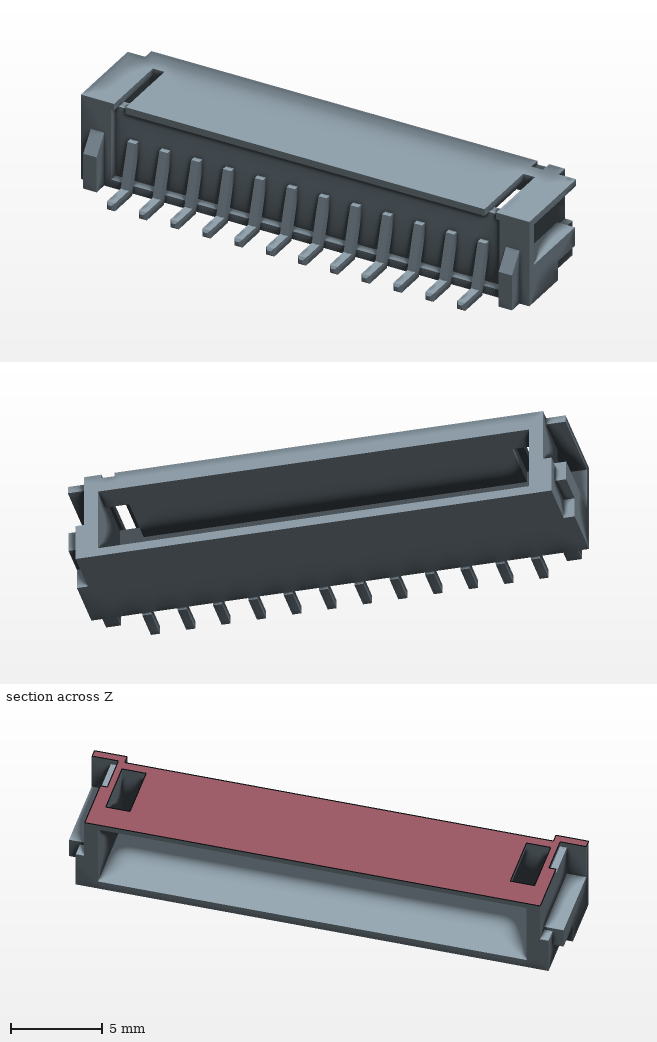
import cadquery as cq
import math


length = 28.15
depth = 5.97
height = 5.38
half_length = length / 2
cover_thickness = 0.42
cover_underside = height - cover_thickness

rear_wall_front = 0.5
rear_wall_back = 1.1
floor_thickness = 0.5
roof_thickness = 1.1
roof_underside = height - roof_thickness
cavity_end_gap = 1.9
cavity_half_length = half_length - cavity_end_gap

slot_outer_gap = 2.08
slot_width = 0.73
slot_back = 4.35
relief_inner_gap = 3.25

pocket_depth = 1.1
pocket_floor = 2.4
niche_back = 2.73
niche_depth = 0.4
cover_notch_length = 0.7
corner_inset = 0.62
corner_length = 0.85
corner_top = 2.2
foot_step_length = 2.73
foot_step_height = 1.2

key_depth = 0.23

tab_outer_gap = 0.62
tab_width = 0.85
tab_reach = 0.85
tab_shoulder = 2.22
tab_top = 3.38

pin_count = 12
pin_pitch = 2.0
pin_size = 0.5
pin_top = 3.1
pin_bend_y = 0.17
pin_knee_y = -0.6
pin_tip_y = -2.28
tip_chamfer = 0.15


def block(x_range, y_range, z_range):
    """Axis-aligned box spanning the three (low, high) ranges."""
    spans = (x_range, y_range, z_range)
    sizes = [high - low for low, high in spans]
    corner = cq.Vector(*[low for low, high in spans])
    return cq.Workplane(cq.Solid.makeBox(*sizes, corner))


def end_block(side, outer_gap, inner_gap, y_range, z_range):
    """Box at one end (side -1 or +1), between two distances in from the end face."""
    x_ends = side * (half_length - outer_gap), side * (half_length - inner_gap)
    return block((min(x_ends), max(x_ends)), y_range, z_range)


def profile_along_x(points, x_start, width):
    """Prism of a (y, z) outline, running from x_start toward +X."""
    return cq.Workplane("YZ").workplane(offset=x_start).polyline(points).close().extrude(width)


def cut_end(body, side):
    """Cut the slot, relief, pocket and stepped corner of one end."""
    slot_inner_gap = slot_outer_gap + slot_width
    corner_start = depth - corner_length
    cuts = [
        end_block(side, slot_outer_gap, slot_inner_gap, (0, slot_back), (cover_underside, height)),
        end_block(side, cavity_end_gap, relief_inner_gap, (rear_wall_back, slot_back),
                  (roof_underside, cover_underside)),
        end_block(side, 0, pocket_depth, (rear_wall_front, depth), (pocket_floor, cover_underside)),
        end_block(side, 0, pocket_depth + niche_depth, (rear_wall_front, niche_back),
                  (roof_underside, cover_underside)),
        end_block(side, 0, pocket_depth, (depth - cover_notch_length, depth), (corner_top, height)),
        end_block(side, 0, pocket_depth, (corner_start, depth), (corner_top, pocket_floor)),
        end_block(side, 0, corner_inset, (corner_start, depth), (0, corner_top)),
        end_block(side, 0, corner_inset, (depth - foot_step_length, depth), (0, foot_step_height)),
    ]
    for cut in cuts:
        body = body.cut(cut)
    return body


def make_housing():
    cavity_x = (-cavity_half_length, cavity_half_length)
    body = block((-half_length, half_length), (0, depth), (0, height))
    body = body.cut(block(cavity_x, (rear_wall_back, depth), (floor_thickness, roof_underside)))
    body = body.cut(block(cavity_x, (0, rear_wall_front), (floor_thickness, cover_underside)))
    for side in (-1, 1):
        body = cut_end(body, side)
    key_notch = end_block(1, slot_outer_gap, slot_outer_gap + slot_width,
                          (depth - cover_notch_length, depth), (height - key_depth, height))
    return body.cut(key_notch)


def make_tab(side):
    outline = [(0, 0), (-tab_reach, 0), (-tab_reach, tab_shoulder), (0, tab_top)]
    tab_center = side * (half_length - tab_outer_gap - tab_width / 2)
    return profile_along_x(outline, tab_center - tab_width / 2, tab_width)


def make_pin(x_center):
    """Square pin: stub in the rear wall, sloping leg and flat foot with a chamfered tip."""
    bend_angle = math.atan2(pin_top - pin_size, pin_bend_y - pin_knee_y)
    mitre = pin_size * math.tan(bend_angle / 2)
    outline = [
        (rear_wall_back, pin_top),
        (pin_bend_y, pin_top),
        (pin_knee_y, pin_size),
        (pin_tip_y, pin_size),
        (pin_tip_y, 0),
        (pin_knee_y + mitre, 0),
        (pin_bend_y + mitre, pin_top - pin_size),
        (rear_wall_back, pin_top - pin_size),
    ]
    pin = profile_along_x(outline, x_center - pin_size / 2, pin_size)
    return pin.faces("<Y").chamfer(tip_chamfer)


result = make_housing()
for side in (-1, 1):
    result = result.union(make_tab(side))
for index in range(pin_count):
    result = result.union(make_pin((index - (pin_count - 1) / 2) * pin_pitch))